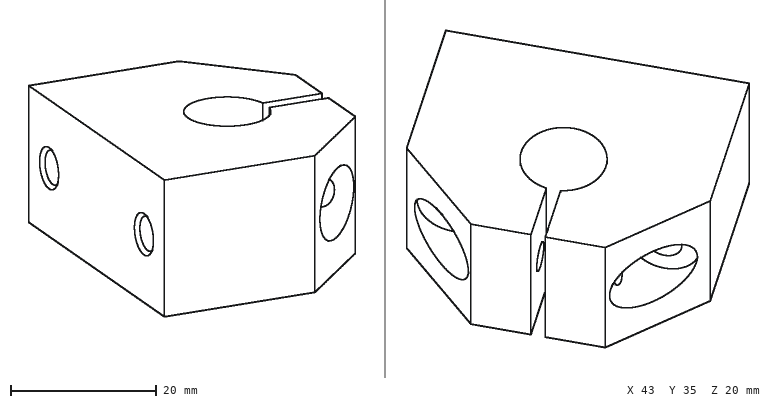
import cadquery as cq

width = 43.0
depth = 35.0
height = 20.0
corner_cut = 12.0

bore_diameter = 12.0
bore_to_mounting_face = 20.0
slot_width = 2.0

mounting_spacing = 30.0
mounting_diameter = 4.9
countersink_diameter = 6.0
counterbore_diameter = 10.0

clamp_diameter = 4.13

mounting_face_y = -bore_to_mounting_face
slotted_face_y = mounting_face_y + depth
counterbore_floor_y = slotted_face_y - corner_cut
mounting_x = mounting_spacing / 2

clamp_y = slotted_face_y - (mounting_x - (width / 2 - corner_cut))


def make_block():
    """Rectangular block with two sloped corners at the slotted face."""
    block_center_y = (mounting_face_y + slotted_face_y) / 2
    block = cq.Workplane("XY").box(width, depth, height).translate((0, block_center_y, 0))
    return block.edges("|Z and >Y").chamfer(corner_cut)


def make_clamp_opening():
    """Bore joined to a slot through the slotted face."""
    bore = cq.Workplane("XY").circle(bore_diameter / 2).extrude(height / 2, both=True)
    slot = cq.Workplane("XY").box(slot_width, slotted_face_y, height, centered=(True, False, True))
    return bore.union(slot)


def make_mounting_hole(x):
    """Through hole, countersunk at the mounting face and counterbored from the sloped corner."""
    face = cq.Workplane("XZ", origin=(x, mounting_face_y, 0))
    hole = face.circle(mounting_diameter / 2).extrude(-depth)
    countersink = cq.Workplane(
        cq.Solid.makeCone(
            countersink_diameter / 2,
            mounting_diameter / 2,
            (countersink_diameter - mounting_diameter) / 2,
            pnt=cq.Vector(x, mounting_face_y, 0),
            dir=cq.Vector(0, 1, 0),
        )
    )
    counterbore = (
        cq.Workplane("XZ", origin=(x, counterbore_floor_y, 0))
        .circle(counterbore_diameter / 2)
        .extrude(-corner_cut)
    )
    return hole.union(countersink).union(counterbore)


def make_clamp_hole():
    """Screw hole running along X across the slot."""
    return (
        cq.Workplane("YZ", origin=(0, clamp_y, 0))
        .circle(clamp_diameter / 2)
        .extrude(width / 2, both=True)
    )


result = make_block().cut(make_clamp_opening())
for side in (-1, 1):
    result = result.cut(make_mounting_hole(side * mounting_x))
result = result.cut(make_clamp_hole())